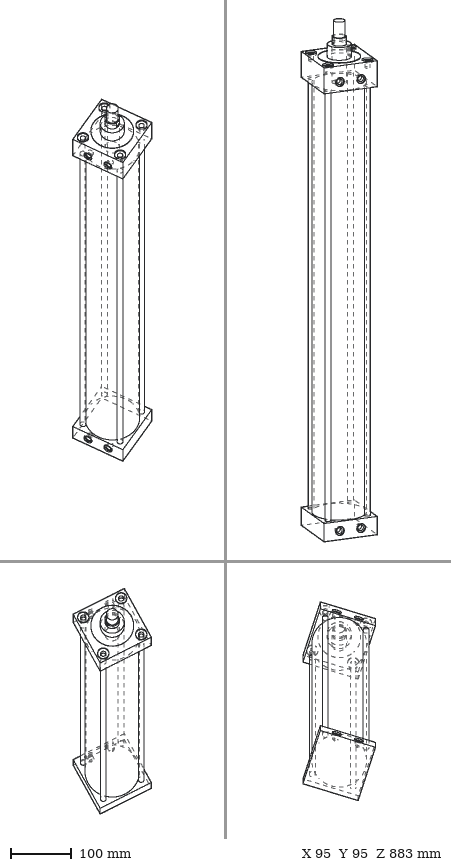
import cadquery as cq
import math

total_length = 883.0
cap_side = 95.0

rear_cap_height = 32.0
front_cap_bottom = 776.0
front_cap_top = 821.0
boss_top = 842.0
flats_bottom = 845.0
shoulder_top = 855.0
front_cap_height = front_cap_top - front_cap_bottom

barrel_diameter = 90.0
tie_rod_diameter = 10.0
tie_rod_spacing = 71.0

boss_diameter = 40.0
recess_diameter = 71.0
recess_depth = 1.0

screw_recess_diameter = 18.5
screw_recess_depth = 3.0
screw_bore_diameter = 9.0
screw_bore_depth = 13.0

port_spacing = 38.0
port_recess_diameter = 15.0
port_recess_depth = 3.0
port_bore_diameter = 10.0
port_bore_depth = 11.0
front_port_height = 793.0
rear_port_height = 15.0

drill_point_angle = 118.0

rod_diameter = 24.0
thread_diameter = 19.0
wrench_flat_width = 22.0


def cylinder(diameter, bottom, top):
    """Round bar on the Z axis between two heights."""
    return cq.Workplane("XY").workplane(offset=bottom).circle(diameter / 2).extrude(top - bottom)


def square_cap(bottom, height):
    """Square end block standing on the given height."""
    return cq.Workplane("XY").workplane(offset=bottom).rect(cap_side, cap_side).extrude(height)


def tie_rods():
    """Four round bars joining the caps alongside the barrel."""
    return (
        cq.Workplane("XY")
        .workplane(offset=rear_cap_height)
        .rect(tie_rod_spacing, tie_rod_spacing, forConstruction=True)
        .vertices()
        .circle(tie_rod_diameter / 2)
        .extrude(front_cap_bottom - rear_cap_height)
    )


def stepped_drill(recess_diameter, recess_depth, bore_diameter, bore_depth):
    """Cutter pointing down from the origin: flat recess, then a bore with a conical end."""
    recess_radius = recess_diameter / 2
    bore_radius = bore_diameter / 2
    point_height = bore_radius / math.tan(math.radians(drill_point_angle / 2))
    return (
        cq.Workplane("XZ")
        .polyline(
            [
                (0, 0),
                (recess_radius, 0),
                (recess_radius, -recess_depth),
                (bore_radius, -recess_depth),
                (bore_radius, -bore_depth),
                (0, -bore_depth - point_height),
            ]
        )
        .close()
        .revolve(360, (0, 0), (0, 1))
    )


def cut_screw_holes(housing):
    """Drill the four corners of the front cap from its top face."""
    drill = stepped_drill(screw_recess_diameter, screw_recess_depth, screw_bore_diameter, screw_bore_depth)
    offset = tie_rod_spacing / 2
    for x in (-offset, offset):
        for y in (-offset, offset):
            housing = housing.cut(drill.translate((x, y, front_cap_top)))
    return housing


def cut_ports(housing):
    """Drill two ports side by side into the -Y face of each cap."""
    drill = stepped_drill(port_recess_diameter, port_recess_depth, port_bore_diameter, port_bore_depth)
    drill = drill.rotate((0, 0, 0), (1, 0, 0), 90)
    for x in (-port_spacing / 2, port_spacing / 2):
        for z in (rear_port_height, front_port_height):
            housing = housing.cut(drill.translate((x, -cap_side / 2, z)))
    return housing


def make_housing():
    """Both caps, barrel, tie rods and guide boss, bored for the rod."""
    housing = square_cap(0, rear_cap_height)
    housing = housing.union(square_cap(front_cap_bottom, front_cap_height))
    housing = housing.union(cylinder(barrel_diameter, rear_cap_height, front_cap_bottom))
    housing = housing.union(tie_rods())

    recess_floor = front_cap_top - recess_depth
    housing = housing.cut(cylinder(recess_diameter, recess_floor, front_cap_top))
    housing = housing.union(cylinder(boss_diameter, recess_floor, boss_top))

    housing = cut_screw_holes(housing)
    housing = cut_ports(housing)

    return housing.cut(cylinder(rod_diameter, front_cap_bottom, boss_top))


def make_rod():
    """Piston rod with two wrench flats below its thinner threaded end."""
    rod = cylinder(rod_diameter, front_cap_bottom, flats_bottom)
    flats = cylinder(rod_diameter, flats_bottom, shoulder_top)
    flats_height = shoulder_top - flats_bottom
    flats_envelope = (
        cq.Workplane("XY")
        .workplane(offset=flats_bottom)
        .rect(wrench_flat_width, rod_diameter)
        .extrude(flats_height)
    )
    rod = rod.union(flats.intersect(flats_envelope))
    return rod.union(cylinder(thread_diameter, shoulder_top, total_length))


housing = make_housing()
rod = make_rod()

result = cq.Compound.makeCompound([housing.val(), rod.val()])